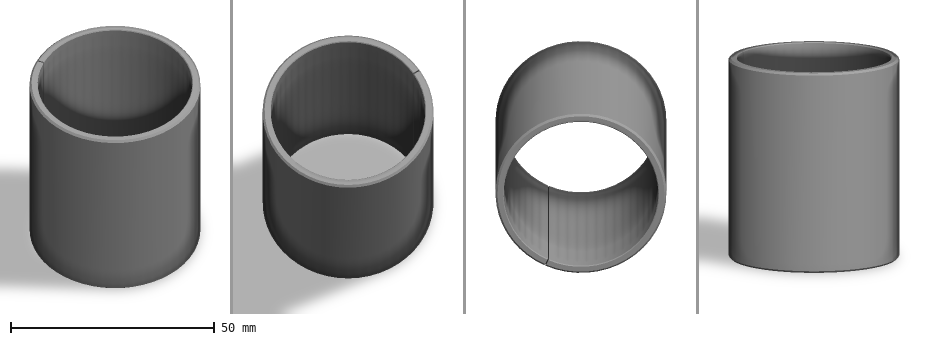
import cadquery as cq

length = 50.0
outer_diameter = 42.0
bore_diameter = 38.0
outer_chamfer = 0.5
bore_chamfer = 0.2
slit_width = 0.35

outer_radius = outer_diameter / 2
bore_radius = bore_diameter / 2


def bushing_wall():
    """Revolve the wall section, with both ends chamfered inside and out."""
    section = (
        cq.Workplane("XZ")
        .moveTo(bore_radius + bore_chamfer, 0)
        .lineTo(outer_radius - outer_chamfer, 0)
        .lineTo(outer_radius, outer_chamfer)
        .lineTo(outer_radius, length - outer_chamfer)
        .lineTo(outer_radius - outer_chamfer, length)
        .lineTo(bore_radius + bore_chamfer, length)
        .lineTo(bore_radius, length - bore_chamfer)
        .lineTo(bore_radius, bore_chamfer)
        .close()
    )
    return section.revolve(360, (0, 0, 0), (0, 1, 0))


def wall_slit():
    """Thin full-length cutter on the -X side, with one face on the Y = 0 plane."""
    return cq.Workplane("XY").box(
        outer_diameter, slit_width, length, centered=False
    ).translate((-outer_diameter, 0, 0))


result = bushing_wall().cut(wall_slit())